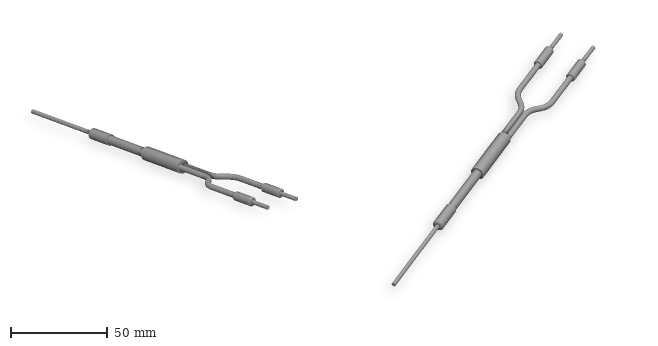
import cadquery as cq
import math

OVERALL_LENGTH = 207.5
COLLAR_START = 49.6
COLLAR_END = 65.0
SLEEVE_START = 94.7
SLEEVE_END = 125.0
BEND_START = 145.0
FERRULE_START = 181.5
FERRULE_END = 195.0

PROBE_DIAMETER = 2.3
COLLAR_DIAMETER = 6.0
CABLE_DIAMETER = 5.0
SLEEVE_DIAMETER = 7.5
WIRE_DIAMETER = 3.1
FERRULE_DIAMETER = 5.0
TIP_DIAMETER = 2.3

END_CHAMFER = 0.6

BUNDLE_OFFSET = WIRE_DIAMETER / 2
LEG_SPACING = 18.9
LEG_OFFSET = LEG_SPACING / 2
BEND_RADIUS = 10.0
BEND_ANGLE = 45.0
LEAD_PLANE_TILT = 3.0

BEND_ADVANCE = BEND_RADIUS * math.sin(math.radians(BEND_ANGLE))
BEND_RISE = BEND_RADIUS * (1 - math.cos(math.radians(BEND_ANGLE)))
SLANT_RISE = LEG_OFFSET - BUNDLE_OFFSET - 2 * BEND_RISE
SLANT_ADVANCE = SLANT_RISE / math.tan(math.radians(BEND_ANGLE))


def rod(start, end, diameter, y=0.0):
    """Cylinder along X between two stations."""
    return cq.Workplane("YZ", origin=(start, y, 0)).circle(diameter / 2).extrude(end - start)


def make_trunk():
    """Probe, chamfered collar, cable and junction sleeve on one axis."""
    collar = rod(COLLAR_START, COLLAR_END, COLLAR_DIAMETER).faces("<X").chamfer(END_CHAMFER)
    return (
        rod(0, COLLAR_START, PROBE_DIAMETER)
        .union(collar)
        .union(rod(COLLAR_END, SLEEVE_START, CABLE_DIAMETER))
        .union(rod(SLEEVE_START, SLEEVE_END, SLEEVE_DIAMETER))
    )


def lead_path(side):
    """Centreline of a lead: straight, S-bend outward, straight up to the ferrule."""
    half_angle = math.radians(BEND_ANGLE / 2)
    half_advance = BEND_RADIUS * math.sin(half_angle)
    half_rise = BEND_RADIUS * (1 - math.cos(half_angle))
    slant_start = BEND_START + BEND_ADVANCE
    slant_end = slant_start + SLANT_ADVANCE
    bend_end = slant_end + BEND_ADVANCE
    return (
        cq.Workplane("XY")
        .moveTo(SLEEVE_END, side * BUNDLE_OFFSET)
        .lineTo(BEND_START, side * BUNDLE_OFFSET)
        .threePointArc(
            (BEND_START + half_advance, side * (BUNDLE_OFFSET + half_rise)),
            (slant_start, side * (BUNDLE_OFFSET + BEND_RISE)),
        )
        .lineTo(slant_end, side * (LEG_OFFSET - BEND_RISE))
        .threePointArc(
            (bend_end - half_advance, side * (LEG_OFFSET - half_rise)),
            (bend_end, side * LEG_OFFSET),
        )
        .lineTo(FERRULE_START, side * LEG_OFFSET)
    )


def make_lead(side):
    """Insulated wire with a ferrule and a bare tip; side is +1 or -1 along Y."""
    wire_start = (SLEEVE_END, side * BUNDLE_OFFSET, 0)
    wire = cq.Workplane("YZ", origin=wire_start).circle(WIRE_DIAMETER / 2).sweep(lead_path(side))
    leg_y = side * LEG_OFFSET
    ferrule = rod(FERRULE_START, FERRULE_END, FERRULE_DIAMETER, leg_y).faces(">X").chamfer(END_CHAMFER)
    tip = rod(FERRULE_END, OVERALL_LENGTH, TIP_DIAMETER, leg_y)
    lead = wire.union(ferrule).union(tip)
    return lead.rotate((0, 0, 0), (1, 0, 0), LEAD_PLANE_TILT)


trunk = make_trunk()
leads = [make_lead(side) for side in (1, -1)]

result = cq.Compound.makeCompound([trunk.val(), *[lead.val() for lead in leads]])